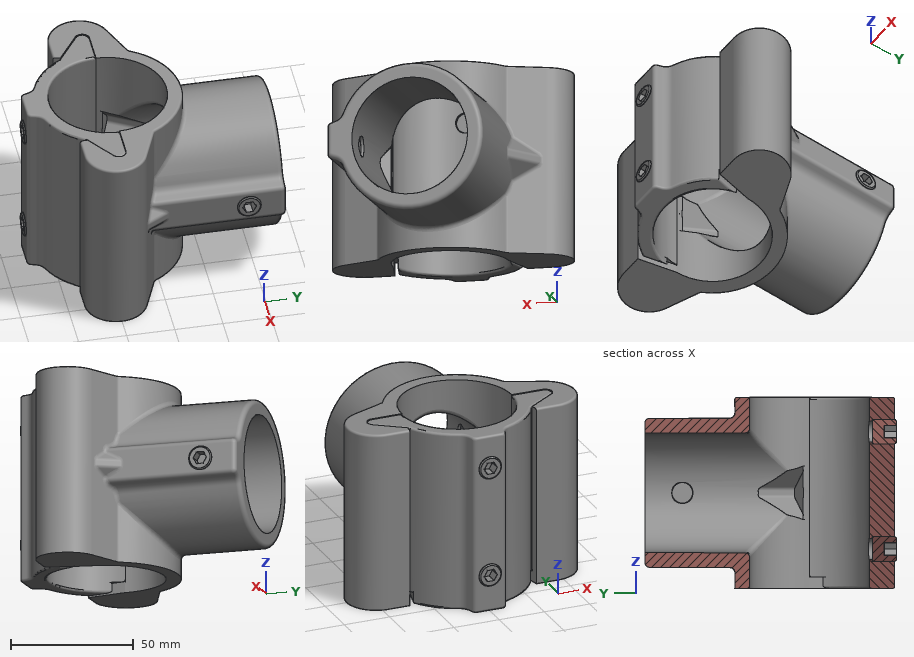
import cadquery as cq
import math

HEIGHT = 78.0
TOP = HEIGHT / 2
BOTTOM = -TOP
BORE_RADIUS = 24.3
OUTER_RADIUS = 30.5
BRANCH_END = 67.1
EDGE_ROUND = 1.0
LARGE_ROUND = 2.0

WING_RADIUS = 12.9
WING_X = 37.6
WING_Y = -4.2
WING_SLOPE = math.radians(22)
WING_FRONT_Y = WING_Y - WING_RADIUS

LIP_X = 28.0
WALL_SLANT = (LIP_X - BORE_RADIUS) / -WING_FRONT_Y
SLOT_FLOOR = BOTTOM + 4.6

TIP_RADIUS = 3.1
TIP_X = 37.8
JAW_SLOPE = math.radians(35)
FOOT_GAP = 1.8

PAD_FACE = 34.8
PAD_FACE_HALF_WIDTH = 7.0
PAD_FLANK_ANGLE = math.radians(18)
PAD_ROOT_ROUND = 5.0

GUSSET_ANGLE = math.radians(60)
GUSSET_DISTANCE = 39.3
GROOVE_DISTANCE = 31.5
RIDGE_HALF_WIDTH = 1.6
GUSSET_DEPTH = 9.2
GUSSET_TOP_Y = 28.7
GUSSET_FOOT_Y = 6.2

SCREW_RADIUS = 4.9
SCREW_LENGTH = 10.0
SCREW_PROTRUSION = 0.7
SCREW_CHAMFER = 0.5
HEX_ACROSS_FLATS = 4.9
HEX_DEPTH = 5.0
PILOT_RADIUS = 4.2
JAW_SCREW_HEIGHTS = (-22.9, 24.9)
BRANCH_SCREW_Y = 51.8

FAR = 205.2
TOLERANCE = 0.001


def box_zone(corner, opposite):
    """Selector for whatever has its centre inside the box between two corners."""
    return cq.selectors.BoxSelector(corner, opposite)


def both_sides(shape):
    return shape.union(shape.mirror("YZ"))


def half_space(side):
    """Block filling everything on the +Y (side 1) or -Y (side -1) side of the split plane."""
    return cq.Workplane("XY").box(FAR, FAR, FAR).translate((0, side * FAR / 2, 0))


def above_slot_floor():
    return cq.Workplane("XY", origin=(0, 0, SLOT_FLOOR)).rect(FAR, FAR).extrude(HEIGHT)


def vertical_cylinder(radius):
    return cq.Workplane("XY", origin=(0, 0, BOTTOM)).circle(radius).extrude(HEIGHT)


def branch_cylinder(radius):
    return cq.Workplane("XZ").circle(radius).extrude(-BRANCH_END)


def padded_cylinder(length):
    """Cylinder along +Z from z = 0, with a screw pad blended into its +Y side."""
    root_half_width = PAD_FACE_HALF_WIDTH + PAD_FACE * math.tan(PAD_FLANK_ANGLE)
    pad = (
        cq.Workplane("XY")
        .moveTo(-root_half_width, 0)
        .lineTo(root_half_width, 0)
        .lineTo(PAD_FACE_HALF_WIDTH, PAD_FACE)
        .lineTo(-PAD_FACE_HALF_WIDTH, PAD_FACE)
        .close()
        .extrude(length)
    )
    bar = cq.Workplane("XY").circle(OUTER_RADIUS).extrude(length).union(pad)
    below_face = PAD_FACE - SCREW_PROTRUSION
    pad_roots = box_zone((-FAR, OUTER_RADIUS / 2, 0), (FAR, below_face, length))
    pad_corners = box_zone((-FAR, below_face, 0), (FAR, FAR, length))
    bar = bar.edges("|Z").edges(pad_roots).fillet(PAD_ROOT_ROUND)
    return bar.edges("|Z").edges(pad_corners).fillet(LARGE_ROUND)


def placed(shape, plane):
    return cq.Workplane(shape.val().moved(plane.location))


def seam_edges(body, first, second):
    """Edges of a body that run along the surfaces of both given solids."""
    surfaces = [first.val().Shells()[0], second.val().Shells()[0]]

    def on_seam(edge):
        points = [cq.Vertex.makeVertex(*edge.positionAt(t).toTuple()) for t in (0.25, 0.5, 0.75)]
        return all(surface.distance(point) < TOLERANCE for surface in surfaces for point in points)

    return [edge for edge in body.edges().vals() if on_seam(edge)]



def housing_wing():
    """Left-hand wing: sloping back, round end, flat front and a slanted wall down to the bore."""
    tangent_x = -WING_X - WING_RADIUS * math.sin(WING_SLOPE)
    tangent_y = WING_Y + WING_RADIUS * math.cos(WING_SLOPE)
    back_y = tangent_y - tangent_x * math.tan(WING_SLOPE)
    return (
        cq.Workplane("XY", origin=(0, 0, BOTTOM))
        .moveTo(0, back_y)
        .lineTo(tangent_x, tangent_y)
        .threePointArc((-WING_X - WING_RADIUS, WING_Y), (-WING_X, WING_FRONT_Y))
        .lineTo(-LIP_X, WING_FRONT_Y)
        .lineTo(-BORE_RADIUS, 0)
        .lineTo(0, 0)
        .close()
        .extrude(HEIGHT)
    )


def housing_core():
    """Rear half of the main tube with both wings, solid so far."""
    core = vertical_cylinder(OUTER_RADIUS).intersect(half_space(1)).union(both_sides(housing_wing()))
    wing_roots = box_zone((-LIP_X, BORE_RADIUS / 2, BOTTOM), (LIP_X, BORE_RADIUS, TOP))
    return core.edges("|Z").edges(wing_roots).fillet(LARGE_ROUND)


def branch_tube():
    """Branch along +Y with its screw pad on the +X side and a rounded end, solid so far."""
    bar = padded_cylinder(BRANCH_END).faces(">Z").edges().fillet(LARGE_ROUND)
    return placed(bar, cq.Plane(origin=(0, 0, 0), xDir=(0, 0, 1), normal=(0, 1, 0)))


def gusset_prism(ridge_distance):
    """Left-hand prism with a flat, rounded ridge and 45 degree sides."""
    outward = cq.Vector(-math.sin(GUSSET_ANGLE), math.cos(GUSSET_ANGLE), 0)
    along = cq.Vector(math.cos(GUSSET_ANGLE), math.sin(GUSSET_ANGLE), 0)
    foot_travel = (GUSSET_FOOT_Y - ridge_distance * outward.y) / along.y
    foot = outward * ridge_distance + along * foot_travel
    length = (GUSSET_TOP_Y - GUSSET_FOOT_Y) / along.y
    base_half_width = RIDGE_HALF_WIDTH + GUSSET_DEPTH
    prism = (
        cq.Workplane(cq.Plane(origin=foot, xDir=outward, normal=along))
        .moveTo(0, -RIDGE_HALF_WIDTH)
        .lineTo(0, RIDGE_HALF_WIDTH)
        .lineTo(-GUSSET_DEPTH, base_half_width)
        .lineTo(-GUSSET_DEPTH, -base_half_width)
        .close()
        .extrude(length)
    )
    ridge_zone = box_zone((-FAR, -FAR, -GUSSET_DEPTH), (FAR, FAR, GUSSET_DEPTH))
    ridge_edges = prism.edges(cq.selectors.ParallelDirSelector(along)).edges(ridge_zone)
    return ridge_edges.fillet(LARGE_ROUND)


def housing_outside():
    """Core, branch and gussets joined, with rounded seams and a rounded top outline."""
    core = housing_core()
    branch = branch_tube()
    core_and_branch = core.union(branch)
    left_gusset = gusset_prism(GUSSET_DISTANCE)
    right_gusset = left_gusset.mirror("YZ")
    body = core_and_branch.union(left_gusset).union(right_gusset)

    seams = seam_edges(body, core, branch)
    for gusset in (left_gusset, right_gusset):
        seams += seam_edges(body, core_and_branch, gusset)
    body = body.newObject(seams).fillet(LARGE_ROUND)

    slot_edges = box_zone((-LIP_X, WING_FRONT_Y, BOTTOM), (LIP_X, TOLERANCE, FAR))
    return body.faces(">Z").edges(cq.selectors.InverseSelector(slot_edges)).fillet(EDGE_ROUND)


def make_housing(screw_plane):
    main_bore = vertical_cylinder(BORE_RADIUS)
    branch_bore = branch_cylinder(BORE_RADIUS)
    body = housing_outside().cut(main_bore).cut(branch_bore)
    body = body.cut(both_sides(gusset_prism(GROOVE_DISTANCE)))
    body = body.newObject(seam_edges(body, main_bore, branch_bore)).fillet(LARGE_ROUND)
    body = body.cut(jaw_blank().cut(main_bore).intersect(above_slot_floor()))
    return body.cut(screw_hole(screw_plane))



def jaw_wing():
    """Left-hand wing: flat on the split plane, with a round tip and a sloping front."""
    tangent_x = -TIP_X - TIP_RADIUS * math.sin(JAW_SLOPE)
    tangent_y = -TIP_RADIUS - TIP_RADIUS * math.cos(JAW_SLOPE)
    inner_y = tangent_y + (tangent_x + BORE_RADIUS) * math.tan(JAW_SLOPE)
    return (
        cq.Workplane("XY", origin=(0, 0, BOTTOM))
        .moveTo(0, 0)
        .lineTo(-TIP_X, 0)
        .threePointArc((-TIP_X - TIP_RADIUS, -TIP_RADIUS), (tangent_x, tangent_y))
        .lineTo(-BORE_RADIUS, inner_y)
        .lineTo(0, inner_y)
        .close()
        .extrude(HEIGHT)
    )


def jaw_blank():
    """Full-height jaw outline: front half of a padded cylinder with both wings, sharp-edged."""
    bar_plane = cq.Plane(origin=(0, 0, BOTTOM), xDir=(-1, 0, 0), normal=(0, 0, 1))
    front_half = placed(padded_cylinder(HEIGHT), bar_plane).intersect(half_space(-1))
    return front_half.union(both_sides(jaw_wing()))


def foot_zone():
    """Wedge that clears the slanted slot walls by the foot gap."""
    back_half_width = BORE_RADIUS - FOOT_GAP
    front_half_width = back_half_width + FAR * WALL_SLANT
    return (
        cq.Workplane("XY", origin=(0, 0, BOTTOM))
        .moveTo(-back_half_width, 0)
        .lineTo(back_half_width, 0)
        .lineTo(front_half_width, -FAR)
        .lineTo(-front_half_width, -FAR)
        .close()
        .extrude(HEIGHT)
    )


def make_jaw(screw_planes):
    blank = jaw_blank()
    winged_part = blank.intersect(above_slot_floor()).faces("<Z").edges().fillet(EDGE_ROUND)
    body = winged_part.union(blank.intersect(foot_zone())).cut(vertical_cylinder(BORE_RADIUS))
    body = body.faces(">Z").edges().fillet(EDGE_ROUND)
    body = body.faces("<Z").edges().fillet(EDGE_ROUND)
    for plane in screw_planes:
        body = body.cut(screw_hole(plane))
    return body



def screw_hole(plane):
    """Seat of the screw's full length, continued into the bore by a narrower pilot hole."""
    through_depth = PAD_FACE + SCREW_PROTRUSION - BORE_RADIUS / 2
    pilot = cq.Workplane(plane).circle(PILOT_RADIUS).extrude(-through_depth)
    return cq.Workplane(plane).circle(SCREW_RADIUS).extrude(-SCREW_LENGTH).union(pilot)


def make_screw(plane):
    hex_diameter = HEX_ACROSS_FLATS / math.cos(math.pi / 6)
    socket = cq.Workplane(plane).polygon(6, hex_diameter).extrude(-HEX_DEPTH)
    shank = cq.Workplane(plane).circle(SCREW_RADIUS).extrude(-SCREW_LENGTH)
    return shank.edges("%CIRCLE").chamfer(SCREW_CHAMFER).cut(socket)


SCREW_END = PAD_FACE + SCREW_PROTRUSION
jaw_screw_planes = [
    cq.Plane(origin=(0, -SCREW_END, z), xDir=(1, 0, 0), normal=(0, -1, 0)) for z in JAW_SCREW_HEIGHTS
]
branch_screw_plane = cq.Plane(origin=(SCREW_END, BRANCH_SCREW_Y, 0), xDir=(0, 1, 0), normal=(1, 0, 0))

housing = make_housing(branch_screw_plane)
jaw = make_jaw(jaw_screw_planes)
screws = [make_screw(plane) for plane in [*jaw_screw_planes, branch_screw_plane]]

result = cq.Compound.makeCompound([
    housing.val(),
    jaw.val(),
    *[screw.val() for screw in screws],
])